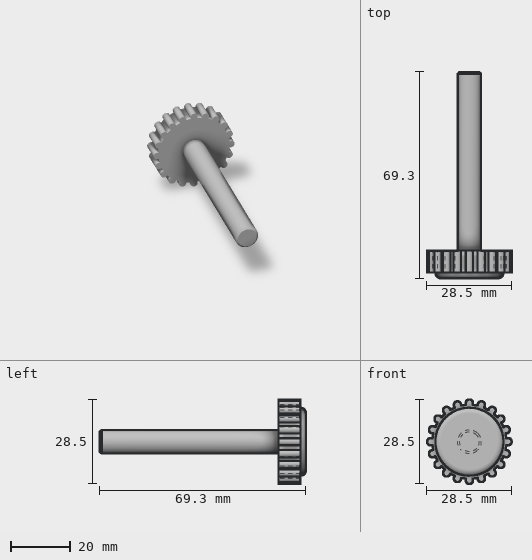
import cadquery as cq

total_length = 69.3
head_diameter = 28.5
head_thickness = 7.35
root_diameter = 24.95
tooth_count = 20
tooth_radius = 1.25
cap_diameter = 22.9
cap_height = 1.95
shaft_diameter = 8.0
tip_chamfer = 0.7

head_back = cap_height + head_thickness
tooth_center_radius = head_diameter / 2 - tooth_radius


def disc(diameter, start, end):
    """Cylinder on the Y axis between two Y positions."""
    return cq.Workplane("XZ", origin=(0, start, 0)).circle(diameter / 2).extrude(start - end)


def head():
    """Disc ringed with round teeth."""
    teeth = (
        cq.Workplane("XZ", origin=(0, cap_height, 0))
        .polarArray(tooth_center_radius, 0, 360, tooth_count)
        .circle(tooth_radius)
        .extrude(-head_thickness)
    )
    return disc(root_diameter, cap_height, head_back).union(teeth)


def cap():
    """Rounded cap; it runs into the head so that its whole height can be rounded."""
    return disc(cap_diameter, 0, head_back).faces("<Y").edges().fillet(cap_height)


def shaft():
    """Plain shaft with a chamfered tip."""
    return disc(shaft_diameter, cap_height, total_length).faces(">Y").edges().chamfer(tip_chamfer)


result = head().union(cap()).union(shaft())